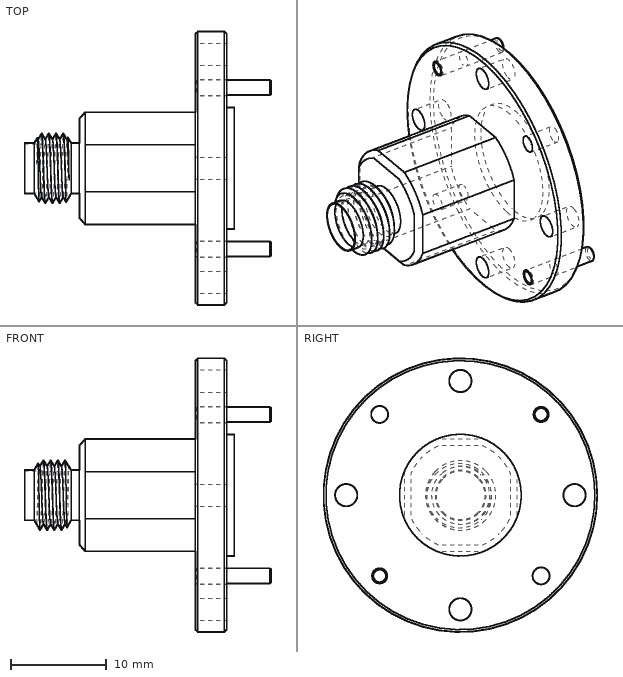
import cadquery as cq
import math


flange_diameter = 28.575
flange_thickness = 3.27
flange_chamfer = 0.26
ring_diameter = 12.7
ring_height = 0.78

block_diameter = ring_diameter
block_across_flats = 11.73
block_length = 12.1
block_chamfer_along = 0.6
block_chamfer_across = 0.68

bolt_circle_radius = 11.906
screw_hole_diameter = 2.3
pin_diameter = 1.6
open_pin_hole_diameter = 1.75
pin_projection = 4.65
pin_chamfer = 0.15
pin_angles = (45, 225)
open_pin_hole_angles = (135, 315)
screw_hole_angles = (0, 90, 180, 270)

barrel_diameter = 5.28
barrel_length = 5.72
bore_diameter = 5.08
bore_depth = 1.83

pitch = 0.75
flank_slope = math.tan(math.radians(60))
crest_flat = 0.02
crest_radius = 3.65
root_radius = crest_radius - flank_slope * (pitch - crest_flat) / 2
collar_end_length = (crest_radius - barrel_diameter / 2) / flank_slope
collar_start = 1.01
collar_length = 3.85
groove_margin = 0.005

block_front = -block_length
barrel_front = block_front - barrel_length


def x_cylinder(diameter, x_start, length):
    return cq.Workplane("YZ", origin=(x_start, 0, 0)).circle(diameter / 2).extrude(length)


def on_bolt_circle(angles):
    """(Y, Z) points at the given angles, measured from +Y toward +Z."""
    return [
        (
            bolt_circle_radius * math.cos(math.radians(angle)),
            bolt_circle_radius * math.sin(math.radians(angle)),
        )
        for angle in angles
    ]


def flange_holes(diameter, angles):
    return (
        cq.Workplane("YZ")
        .pushPoints(on_bolt_circle(angles))
        .circle(diameter / 2)
        .extrude(flange_thickness)
    )


def chamfer_block_front(body):
    return body.faces("<X").chamfer(block_chamfer_along, block_chamfer_across)


def make_block():
    bar = x_cylinder(block_diameter, block_front, block_length)
    square = (
        cq.Workplane("YZ", origin=(block_front, 0, 0))
        .rect(block_across_flats, block_across_flats)
        .extrude(block_length)
    )
    return chamfer_block_front(bar).intersect(chamfer_block_front(square))


def make_housing():
    flange = x_cylinder(flange_diameter, 0, flange_thickness).edges().chamfer(flange_chamfer)
    ring = x_cylinder(ring_diameter, flange_thickness, ring_height)
    return (
        flange.union(ring)
        .union(make_block())
        .cut(flange_holes(screw_hole_diameter, screw_hole_angles))
        .cut(flange_holes(open_pin_hole_diameter, open_pin_hole_angles))
        .cut(flange_holes(pin_diameter, pin_angles))
    )


def make_pin(y, z):
    return (
        cq.Workplane("YZ", origin=(0, y, z))
        .circle(pin_diameter / 2)
        .extrude(flange_thickness + pin_projection)
        .faces("<X or >X")
        .chamfer(pin_chamfer)
    )


def make_thread_collar():
    """Collar with ends sloped like the thread flanks."""
    x_start = barrel_front + collar_start
    x_end = x_start + collar_length
    return (
        cq.Workplane("XY")
        .moveTo(x_start, 0)
        .lineTo(x_start, barrel_diameter / 2)
        .lineTo(x_start + collar_end_length, crest_radius)
        .lineTo(x_end - collar_end_length, crest_radius)
        .lineTo(x_end, barrel_diameter / 2)
        .lineTo(x_end, 0)
        .close()
        .revolve(360, (0, 0, 0), (1, 0, 0))
    )


def make_groove_turns():
    """V groove on a right-hand helix about X, one cutter for each turn.

    The first turn starts on the -Z side, where one flank lies on the collar's front slope.
    The groove then climbs out of that slope and runs out through the rear slope.
    """
    groove_top = crest_radius + groove_margin
    half_width = (groove_top - root_radius) / flank_slope
    x_start = barrel_front + collar_start + collar_end_length - pitch / 2
    helix = cq.Wire.makeHelix(pitch, pitch, root_radius)
    turn = (
        cq.Workplane("XZ")
        .moveTo(root_radius, 0)
        .lineTo(groove_top, half_width)
        .lineTo(groove_top, -half_width)
        .close()
        .sweep(cq.Workplane(obj=helix), isFrenet=True)
        .rotate((0, 0, 0), (0, 1, 0), 90)
    )
    turn_count = math.ceil((collar_length - collar_end_length) / pitch)
    return [turn.translate((x_start + index * pitch, 0, 0)) for index in range(turn_count)]


def make_connector():
    barrel = x_cylinder(barrel_diameter, barrel_front, barrel_length)
    bore = x_cylinder(bore_diameter, barrel_front, bore_depth)
    collar = make_thread_collar()
    for turn in make_groove_turns():
        collar = collar.cut(turn)
    return barrel.union(collar).cut(bore)


housing = make_housing()
connector = make_connector()
pins = [make_pin(y, z) for y, z in on_bolt_circle(pin_angles)]

result = cq.Compound.makeCompound([housing.val(), connector.val(), *[pin.val() for pin in pins]])